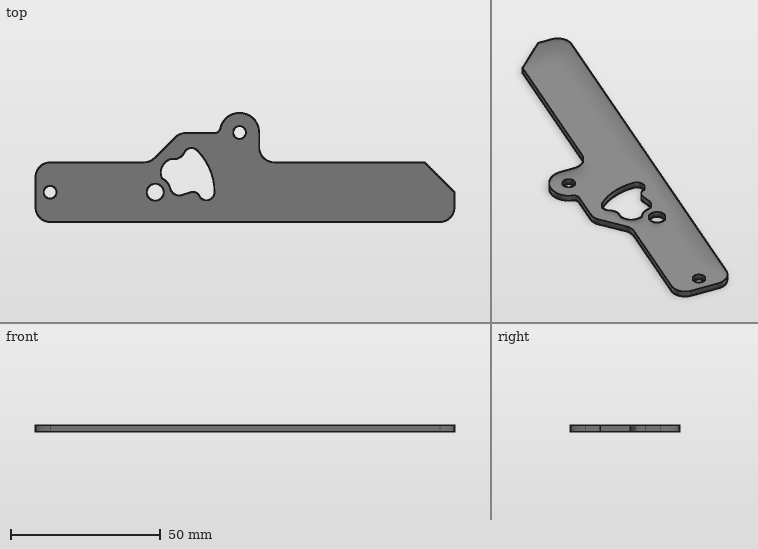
import cadquery as cq
import math

length = 140.0
plate_height = 20.0
thickness = 2.2
corner_radius = 5.0
end_chamfer = plate_height / 2

shoulder_height = 29.8
ramp_angle = 45
ramp_start_x = 38.4
ramp_end_x = ramp_start_x + shoulder_height - plate_height
ramp_radius = 5.0

lug_x = 68.2
lug_y = 30.0
lug_radius = 6.6
lug_left_fillet = 2.0
lug_right_fillet = 5.0

small_hole_diameter = 4.2
pivot_hole_diameter = 5.6
end_hole_x = 4.9
pivot_x = 40.0
hole_row_y = plate_height / 2

window_outer_radius = 19.7
window_inner_radius = 5.2
window_sweep = 45
lobe_radius = 2.7
lobe_distance = window_outer_radius - lobe_radius

inner_start_angle = 64
inner_end_angle = 13
upper_lobe_end_angle = 148
lower_lobe_end_angle = 216

upper_neck_middle = (8.7, 11.9)
upper_neck_end = (7.0, 11.0)
left_bulge_start = (5.2, 11.0)
left_bulge_middle = (2.2, 8.4)
lower_bulge_middle = (6.3, -0.5)
lower_bulge_end = (9.1, -0.8)
lower_neck_start = (11.8, 0.0)
lower_neck_middle = (13.5, 0.0)


def polar(radius, angle, center=(0, 0)):
    """Point at a radius and an angle in degrees about a center."""
    turn = math.radians(angle)
    return center[0] + radius * math.cos(turn), center[1] + radius * math.sin(turn)


def make_plate():
    """Plate with three rounded corners and a chamfered upper right corner."""
    blank = cq.Workplane("XY").box(length, plate_height, thickness, centered=False)
    chamfered = blank.edges("|Z and >X and >Y").chamfer(end_chamfer)
    return chamfered.edges("|Z and (<X or <Y)").fillet(corner_radius)


def make_shoulder():
    """Ramp, shoulder and lug standing on the upper edge of the plate."""
    ramp_tangent = ramp_radius * math.tan(math.radians(ramp_angle / 2))
    diagonal_step = ramp_tangent * math.cos(math.radians(ramp_angle))
    lug_right = lug_x + lug_radius

    fillet_y = shoulder_height + lug_left_fillet
    center_gap = lug_radius + lug_left_fillet
    fillet_x = lug_x - math.sqrt(center_gap**2 - (fillet_y - lug_y) ** 2)
    touch_angle = math.degrees(math.atan2(fillet_y - lug_y, fillet_x - lug_x))
    fillet_middle_angle = (-90 + touch_angle - 180) / 2
    fillet_middle = polar(lug_left_fillet, fillet_middle_angle, (fillet_x, fillet_y))

    lug_center = (lug_x, lug_y)
    return (
        cq.Workplane("XY")
        .moveTo(ramp_start_x - ramp_tangent, hole_row_y)
        .lineTo(ramp_start_x - ramp_tangent, plate_height)
        .radiusArc((ramp_start_x + diagonal_step, plate_height + diagonal_step), -ramp_radius)
        .lineTo(ramp_end_x - diagonal_step, shoulder_height - diagonal_step)
        .radiusArc((ramp_end_x + ramp_tangent, shoulder_height), ramp_radius)
        .lineTo(fillet_x, shoulder_height)
        .threePointArc(fillet_middle, polar(lug_radius, touch_angle, lug_center))
        .threePointArc(polar(lug_radius, touch_angle / 2, lug_center), (lug_right, lug_y))
        .lineTo(lug_right, plate_height + lug_right_fillet)
        .radiusArc((lug_right + lug_right_fillet, plate_height), -lug_right_fillet)
        .lineTo(lug_right + lug_right_fillet, hole_row_y)
        .close()
        .extrude(thickness)
    )


def make_window():
    """Closed cutter for the irregular window, placed on the pivot."""
    upper_lobe = polar(lobe_distance, window_sweep)
    lower_lobe = polar(lobe_distance, 0)
    upper_lobe_middle = (window_sweep + upper_lobe_end_angle) / 2
    lower_lobe_middle = (lower_lobe_end_angle + 360) / 2
    inner_middle = (inner_start_angle + inner_end_angle) / 2
    return (
        cq.Workplane("XY")
        .moveTo(*polar(window_outer_radius, 0))
        .threePointArc(
            polar(window_outer_radius, window_sweep / 2),
            polar(window_outer_radius, window_sweep),
        )
        .threePointArc(
            polar(lobe_radius, upper_lobe_middle, upper_lobe),
            polar(lobe_radius, upper_lobe_end_angle, upper_lobe),
        )
        .threePointArc(upper_neck_middle, upper_neck_end)
        .lineTo(*left_bulge_start)
        .threePointArc(left_bulge_middle, polar(window_inner_radius, inner_start_angle))
        .threePointArc(
            polar(window_inner_radius, inner_middle),
            polar(window_inner_radius, inner_end_angle),
        )
        .threePointArc(lower_bulge_middle, lower_bulge_end)
        .lineTo(*lower_neck_start)
        .threePointArc(lower_neck_middle, polar(lobe_radius, lower_lobe_end_angle, lower_lobe))
        .threePointArc(
            polar(lobe_radius, lower_lobe_middle, lower_lobe),
            polar(window_outer_radius, 0),
        )
        .close()
        .extrude(thickness)
        .translate((pivot_x, hole_row_y, 0))
    )


def make_hole(x, y, diameter):
    """Cutter for a round through hole."""
    return cq.Workplane("XY").center(x, y).circle(diameter / 2).extrude(thickness)


result = make_plate().union(make_shoulder())
result = result.cut(make_window())
for x, y, diameter in (
    (end_hole_x, hole_row_y, small_hole_diameter),
    (pivot_x, hole_row_y, pivot_hole_diameter),
    (lug_x, lug_y, small_hole_diameter),
):
    result = result.cut(make_hole(x, y, diameter))